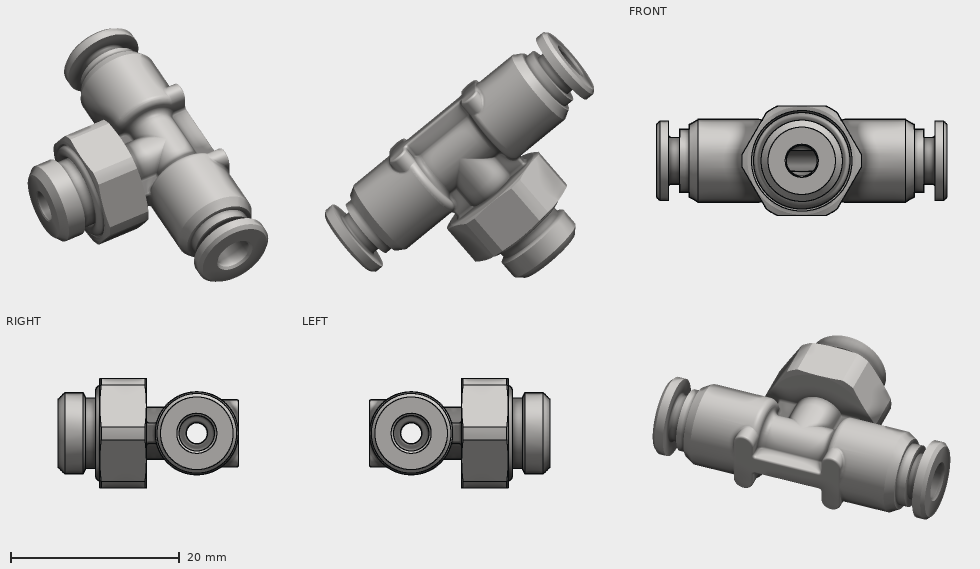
import cadquery as cq
import math

run_half_length = 17.25
collar_radius = 4.73
collar_chamfer = 0.4
collar_inner_x = 15.8
neck_radius = 2.8
neck_fillet = 0.28
ring_outer_x = 14.5
ring_radius = 3.75
sleeve_end_x = 13.35
sleeve_end_radius = 4.3
sleeve_cone_x = 12.28
sleeve_radius = 4.95
shoulder_x = 4.3
shoulder_round = 0.85
waist_fillet = 0.72
waist_radius = 3.1

through_bore_radius = 1.25
tube_bore_radius = 2.1
tube_bore_mouth_chamfer = 0.28
tube_bore_floor_x = 5.18
tube_bore_floor_fillet = 0.28
tube_stop_round = 0.28
stud_bore_radius = 1.83
stud_bore_mouth_chamfer = 0.15
stud_bore_floor_fillet = 0.55

stem_radius = waist_radius
hex_back_y = -5.97
hex_front_y = -11.52
hex_across_flats = 13.0
hex_corner_radius = 7.1
hex_chamfer_radius = 6.4
hex_chamfer_angle = 15.0
stud_neck_radius = 4.2
stud_thread_y = -13.18
stud_thread_radius = 4.83
stud_thread_lead_in = 0.3
stud_end_y = -16.5
stud_end_chamfer = 0.83

seal_section_radius = 0.75
seal_front_y = -12.05
seal_centre_radius = stud_neck_radius + seal_section_radius
seal_centre_y = seal_front_y + seal_section_radius
groove_floor_y = seal_centre_y + seal_section_radius
groove_radius = seal_centre_radius + seal_section_radius
groove_mouth_chamfer = 0.25

web_thickness = 2.4
web_fillet = 0.35
mitre_fillet = 0.1
rib_half_width = 5.15
rib_edge_fillet = 0.3
back_y = 4.97
pad_width = 2.5
pad_height = 8.0
pad_edge_fillet = 0.28
pad_root_fillet = 0.28
pad_centre_x = shoulder_x + pad_width / 2

pick_margin = 0.05
rib_pick_x = 5.52
rib_pick_y = -1.72
mitre_pick_y = -0.35
pad_pick_x = 6.9
pad_pick_y = 1.72
web_corner_pick = (4.5, 4.83, 1.38)


def cylinder_along_y(radius, start_y, end_y):
    """Cylinder around the Y axis between two Y positions."""
    return cq.Workplane("XZ", origin=(0, start_y, 0)).circle(radius).extrude(start_y - end_y)


def edges_in_box(body, corner, opposite_corner):
    """Edges of a body whose centres lie inside a box."""
    return body.edges(cq.selectors.BoxSelector(corner, opposite_corner))


def make_waist():
    """Slim middle of the run and the stem, with the rib that stiffens their corner."""
    waist = (
        cq.Workplane("XY")
        .moveTo(0, -waist_radius / 2)
        .rect(2 * (shoulder_x + shoulder_round), waist_radius)
        .revolve(360, (0, 0, 0), (1, 0, 0))
    )
    stem = cylinder_along_y(stem_radius, 0, hex_back_y)
    rib = cq.Workplane("XY").box(
        2 * rib_half_width, -hex_back_y, web_thickness, centered=(True, False, True)
    ).edges("|Y").fillet(rib_edge_fillet).translate((0, hex_back_y, 0))
    return waist.union(stem).union(rib)


def make_sleeve():
    """One port of the run, on the +X side, as a solid of revolution around X."""
    flare_x = shoulder_x - waist_fillet
    profile = (
        cq.Workplane("XY")
        .moveTo(flare_x, 0)
        .lineTo(flare_x, waist_radius)
        .radiusArc((shoulder_x, waist_radius + waist_fillet), -waist_fillet)
        .lineTo(shoulder_x, sleeve_radius - shoulder_round)
        .radiusArc((shoulder_x + shoulder_round, sleeve_radius), shoulder_round)
        .lineTo(sleeve_cone_x, sleeve_radius)
        .lineTo(sleeve_end_x, sleeve_end_radius)
        .lineTo(sleeve_end_x, ring_radius)
        .lineTo(ring_outer_x, ring_radius)
        .lineTo(ring_outer_x, neck_radius)
        .lineTo(collar_inner_x - neck_fillet, neck_radius)
        .radiusArc((collar_inner_x, neck_radius + neck_fillet), -neck_fillet)
        .lineTo(collar_inner_x, collar_radius)
        .lineTo(run_half_length - collar_chamfer, collar_radius)
        .lineTo(run_half_length, collar_radius - collar_chamfer)
        .lineTo(run_half_length, 0)
        .close()
    )
    return profile.revolve(360, (0, 0, 0), (1, 0, 0))


def make_back_plate():
    """Web on the back of the waist with an upright round-ended pad at each end."""
    web = cq.Workplane("XY").box(
        2 * pad_centre_x, back_y, web_thickness, centered=(True, False, True)
    )
    pads = (
        cq.Workplane("XZ")
        .pushPoints([(-pad_centre_x, 0), (pad_centre_x, 0)])
        .slot2D(pad_height, pad_width, 90)
        .extrude(-back_y)
    )
    plate = web.union(pads)
    corner_x, corner_y, corner_z = web_corner_pick
    corners = edges_in_box(plate, (-corner_x, 0, -corner_z), (corner_x, corner_y, corner_z))
    plate = corners.edges("|Y").fillet(web_fillet)
    return plate.faces(">Y").edges().fillet(pad_edge_fillet)


def make_hexagon():
    """Hexagon with its corners turned down and both ends bevelled."""
    length = hex_back_y - hex_front_y
    bevel = (hex_corner_radius - hex_chamfer_radius) * math.tan(math.radians(hex_chamfer_angle))
    prism = (
        cq.Workplane("XZ", origin=(0, hex_back_y, 0))
        .polygon(6, hex_across_flats / math.cos(math.pi / 6))
        .extrude(length)
    )
    turned_blank = (
        cq.Workplane("XY")
        .moveTo(0, hex_back_y)
        .lineTo(hex_chamfer_radius, hex_back_y)
        .lineTo(hex_corner_radius, hex_back_y - bevel)
        .lineTo(hex_corner_radius, hex_front_y + bevel)
        .lineTo(hex_chamfer_radius, hex_front_y)
        .lineTo(0, hex_front_y)
        .close()
        .revolve(360, (0, 0, 0), (0, 1, 0))
    )
    return prism.intersect(turned_blank)


def make_stud():
    """Threaded end in front of the hexagon, reaching back through the seal groove."""
    end_radius = stud_thread_radius - stud_end_chamfer
    profile = (
        cq.Workplane("XY")
        .moveTo(0, groove_floor_y)
        .lineTo(stud_neck_radius, groove_floor_y)
        .lineTo(stud_neck_radius, stud_thread_y)
        .lineTo(stud_thread_radius, stud_thread_y - stud_thread_lead_in)
        .lineTo(stud_thread_radius, stud_end_y + stud_end_chamfer)
        .lineTo(end_radius, stud_end_y)
        .lineTo(0, stud_end_y)
        .close()
    )
    return profile.revolve(360, (0, 0, 0), (0, 1, 0))


def make_groove():
    """Space for the sealing ring in the front of the hexagon, with a bevelled mouth."""
    groove = cylinder_along_y(groove_radius, groove_floor_y, hex_front_y)
    bevel = (
        cq.Workplane("XY")
        .moveTo(0, hex_front_y)
        .lineTo(groove_radius + groove_mouth_chamfer, hex_front_y)
        .lineTo(groove_radius, hex_front_y + groove_mouth_chamfer)
        .lineTo(0, hex_front_y + groove_mouth_chamfer)
        .close()
        .revolve(360, (0, 0, 0), (0, 1, 0))
    )
    return groove.union(bevel)


def make_tube_bore():
    """Tube socket of the +X port, opening through a rounded stop into the through bore."""
    fillet_x = tube_bore_floor_x + tube_bore_floor_fillet
    profile = (
        cq.Workplane("XY")
        .moveTo(0, 0)
        .lineTo(0, through_bore_radius)
        .lineTo(tube_bore_floor_x - tube_stop_round, through_bore_radius)
        .radiusArc((tube_bore_floor_x, through_bore_radius + tube_stop_round), -tube_stop_round)
        .lineTo(tube_bore_floor_x, tube_bore_radius - tube_bore_floor_fillet)
        .radiusArc((fillet_x, tube_bore_radius), tube_bore_floor_fillet)
        .lineTo(run_half_length - tube_bore_mouth_chamfer, tube_bore_radius)
        .lineTo(run_half_length, tube_bore_radius + tube_bore_mouth_chamfer)
        .lineTo(run_half_length, 0)
        .close()
    )
    return profile.revolve(360, (0, 0, 0), (1, 0, 0))


def make_stud_bore():
    """Bore of the stud, ending at the run axis with a rounded floor and bevelled at its mouth."""
    bore = cylinder_along_y(stud_bore_radius, 0, stud_end_y)
    bore = bore.faces(">Y").edges().fillet(stud_bore_floor_fillet)
    mouth = cq.Workplane("XY").add(
        cq.Solid.makeCone(
            stud_bore_radius + stud_bore_mouth_chamfer,
            stud_bore_radius,
            stud_bore_mouth_chamfer,
            cq.Vector(0, stud_end_y, 0),
            cq.Vector(0, 1, 0),
        )
    )
    return bore.union(mouth)


def make_seal():
    """Sealing ring of round section around the stud neck."""
    return cq.Workplane("XY").add(
        cq.Solid.makeTorus(
            seal_centre_radius, seal_section_radius, cq.Vector(0, seal_centre_y, 0), cq.Vector(0, 1, 0)
        )
    )


def make_fitting():
    """Tee body with its hexagon, stud and bores, as one solid."""
    sleeve = make_sleeve()
    body = make_waist().union(sleeve).union(sleeve.mirror("YZ"))
    body = body.union(make_hexagon()).union(make_back_plate())
    body = body.cut(make_groove()).union(make_stud())

    rib_z = web_thickness / 2 + pick_margin
    rib_roots = edges_in_box(
        body, (-rib_pick_x, hex_back_y - pick_margin, -rib_z), (rib_pick_x, rib_pick_y, rib_z)
    )
    body = rib_roots.fillet(web_fillet)

    mitres = edges_in_box(
        body, (-waist_radius, -waist_radius, -waist_radius), (waist_radius, mitre_pick_y, waist_radius)
    ).edges("%ELLIPSE")
    body = mitres.fillet(mitre_fillet)

    pad_z = pad_height / 2
    pad_roots = edges_in_box(
        body, (-pad_pick_x, pad_pick_y, -pad_z), (pad_pick_x, back_y - pick_margin, pad_z)
    )
    body = pad_roots.fillet(pad_root_fillet)

    tube_bore = make_tube_bore()
    return body.cut(tube_bore).cut(tube_bore.mirror("YZ")).cut(make_stud_bore())


fitting = make_fitting()
seal = make_seal()

result = cq.Compound.makeCompound([fitting.val(), seal.val()])